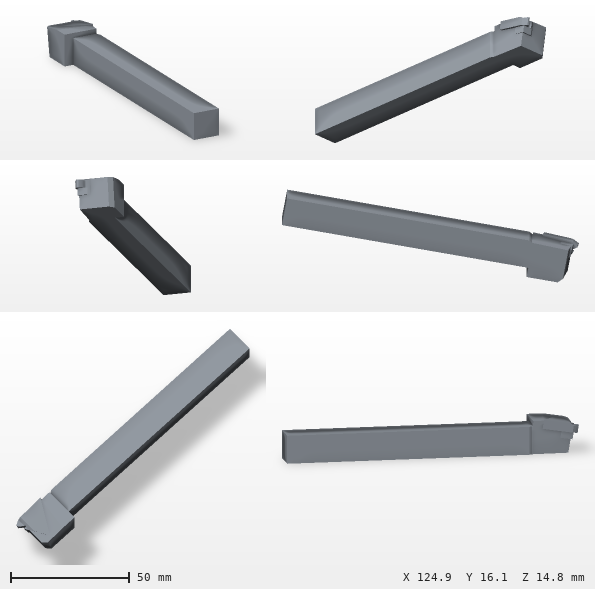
import cadquery as cq
import math

total_length = 124.9
total_width = 16.1
shank_size = 12.0
shank_side_y = total_width - shank_size

head_end_x = 19.6
head_top_z = 14.2
head_front = 2.5
head_chamfer = 1.9
head_side_front_y = 14.7
head_side_rear_y = 15.4
relief_end_x = 20.1
shank_start_x = 21.4

hinge_x = 12.9
hinge_rear_x = 15.1
top_slope = 9.3

seat_tilt = 9.4
tip_z = 11.9
insert_side = 16.7
insert_thickness = 3.9
insert_crown = 0.4
corner_x = 15.4
apex_x = corner_x - insert_side / 2
apex_y = total_width - insert_side * math.sin(math.radians(60))
insert_bottom = insert_crown - insert_thickness
rake_end_x = 2.4
breaker_end_x = 3.5
spur_y = 11.4

ledge_front = 1.7
ledge_side_y = 15.1
ledge_thickness = 3.0

clearance = 37.5


def flank_x(y):
    """X of the front flank of the triangle at a given Y, along the tilted plane."""
    return apex_x - (y - apex_y) / math.tan(math.radians(60))


def flank_y(x):
    """Y of the front flank of the triangle at a given X, along the tilted plane."""
    return apex_y + (apex_x - x) * math.tan(math.radians(60))


def tilted_prism(points, bottom, height):
    """Prism square to the tilted seat; heights are measured from the cutting tip."""
    tilt = math.radians(seat_tilt)
    plane = cq.Plane(
        origin=(0, 0, tip_z),
        xDir=(math.cos(tilt), 0, math.sin(tilt)),
        normal=(-math.sin(tilt), 0, math.cos(tilt)),
    )
    return cq.Workplane(plane).workplane(offset=bottom).polyline(points).close().extrude(height)


def make_head():
    outline = [
        (head_front, head_side_front_y),
        (head_front, head_chamfer),
        (head_front + head_chamfer, 0),
        (clearance, 0),
        (clearance, total_width),
        (head_end_x, head_side_rear_y),
    ]
    head = tilted_prism(outline, -clearance, 2 * clearance)
    envelope = cq.Workplane().box(head_end_x, total_width, head_top_z, centered=False)
    return head.intersect(envelope).cut(make_slope_cutter())


def make_slope_cutter():
    hinge_turn = -math.degrees(math.atan2(hinge_rear_x - hinge_x, total_width))
    block = cq.Workplane().box(clearance, 2 * clearance, clearance, centered=(False, True, False))
    return (
        block.translate((-clearance, 0, 0))
        .rotate((0, 0, 0), (0, 1, 0), -top_slope)
        .rotate((0, 0, 0), (0, 0, 1), hinge_turn)
        .translate((hinge_x, 0, head_top_z))
    )


def make_shank():
    outline = [
        (head_end_x, shank_side_y),
        (total_length, shank_side_y),
        (total_length, total_width),
        (shank_start_x, total_width),
        (relief_end_x, head_side_rear_y),
        (head_end_x, head_side_rear_y),
    ]
    return cq.Workplane().polyline(outline).close().extrude(shank_size)


def make_ledge():
    outline = [
        (ledge_front, ledge_side_y),
        (ledge_front, flank_y(ledge_front)),
        (apex_x, apex_y),
        (apex_x, ledge_side_y),
    ]
    return tilted_prism(outline, insert_bottom - ledge_thickness, ledge_thickness)


def make_pocket():
    triangle = [
        (corner_x, total_width),
        (apex_x, apex_y),
        (corner_x - insert_side, total_width),
    ]
    return tilted_prism(triangle, insert_bottom, clearance)


def make_holder():
    return make_head().union(make_shank()).union(make_ledge()).cut(make_pocket())


def make_insert():
    cutting_edge = [
        (flank_x(spur_y), spur_y),
        (2.6, 11.7),
        (2.6, 12.1),
        (0.7, 13.4),
        (0, 14.0),
        (0, 14.9),
        (1.1, 15.5),
        (2.4, total_width),
    ]
    outline = [(corner_x, total_width), (apex_x, apex_y), *cutting_edge]
    body = tilted_prism(outline, insert_bottom, insert_thickness)
    return body.cut(make_chip_breaker())


def make_chip_breaker():
    breaker_top_z = (
        tip_z
        + breaker_end_x * math.tan(math.radians(seat_tilt))
        + insert_crown / math.cos(math.radians(seat_tilt))
    )
    profile = [
        (-clearance, tip_z),
        (rake_end_x, tip_z),
        (breaker_end_x, breaker_top_z),
        (breaker_end_x, clearance),
        (-clearance, clearance),
    ]
    return cq.Workplane("XZ").polyline(profile).close().extrude(-clearance)


holder = make_holder()
insert = make_insert()

result = cq.Compound.makeCompound([holder.solids().val(), insert.solids().val()])